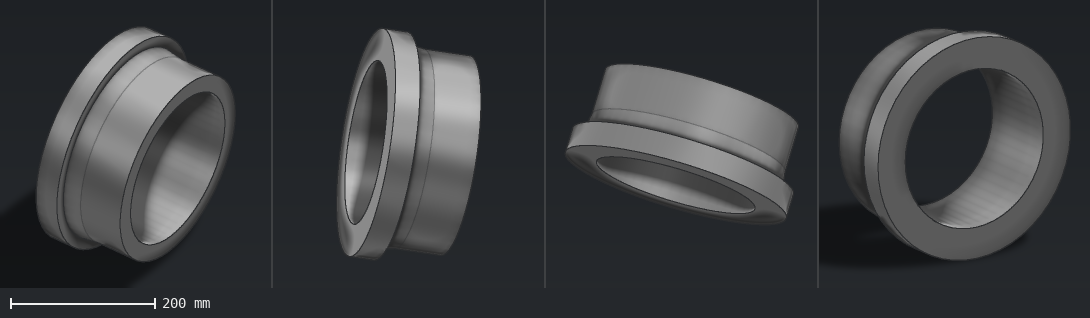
import cadquery as cq

total_length = 128.0
flange_diameter = 320.0
flange_thickness = 35.2
cone_length = 26.2
cone_base_diameter = 288.0
pipe_diameter = 280.0
bore_diameter = 229.0

flange_radius = flange_diameter / 2
cone_base_radius = cone_base_diameter / 2
pipe_radius = pipe_diameter / 2
bore_radius = bore_diameter / 2
cone_end = flange_thickness + cone_length

half_section = (
    cq.Workplane("XY")
    .moveTo(0, bore_radius)
    .lineTo(0, flange_radius)
    .lineTo(flange_thickness, flange_radius)
    .lineTo(flange_thickness, cone_base_radius)
    .lineTo(cone_end, pipe_radius)
    .lineTo(total_length, pipe_radius)
    .lineTo(total_length, bore_radius)
    .close()
)

result = half_section.revolve(360, (0, 0, 0), (1, 0, 0))